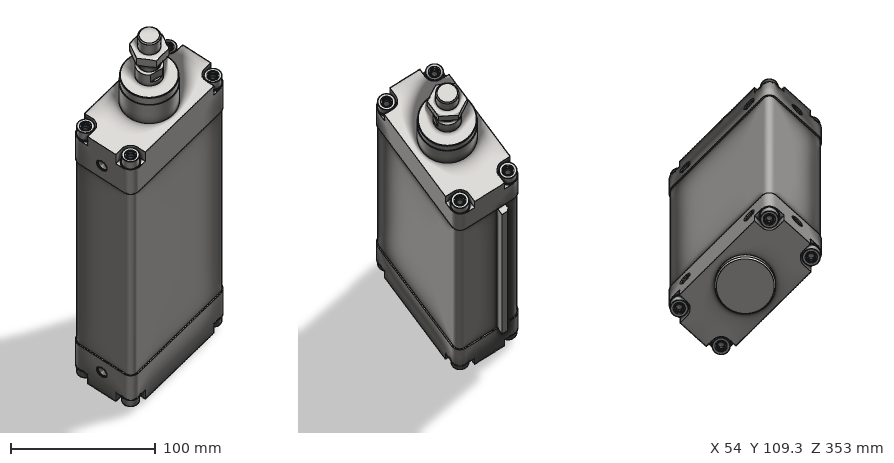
import cadquery as cq
import math


cap_width = 54.0
cap_depth = 104.0
cap_height = 36.5
cap_corner_radius = 7.0
body_height = 275.0
barrel_inset = 1.0
barrel_width = cap_width - 2 * barrel_inset
barrel_depth = cap_depth - 2 * barrel_inset
barrel_corner_radius = 5.5
barrel_height = body_height - 2 * cap_height
barrel_top = body_height - cap_height

rail_right = -6.7
rail_left = -13.3
rail_waist = -13.0
rail_crest = 57.3
rail_crest_bevel = 2.2
rail_waist_drop = 4.4

collar_diameter = 42.0
collar_height = 28.0
collar_tip_diameter = 41.0
collar_tip_height = 7.5
collar_tip_chamfer = 0.5
spigot_height = 6.0
spigot_end_diameter = 40.0
spigot_chamfer_height = 1.5

screw_x = cap_width / 2 - cap_corner_radius
screw_y = cap_depth / 2 - cap_corner_radius
pocket_diameter = 14.95
pocket_depth = 10.0
screw_head_diameter = 12.5
screw_head_height = 9.0
washer_diameter = 2 * cap_corner_radius
washer_height = 1.0
screw_head_rim = 0.25
socket_mouth_diameter = 8.38
socket_mouth_depth = 0.5
socket_throat_diameter = 6.6
socket_throat_depth = 2.0
socket_diameter = 4.92
socket_depth = 5.0

port_end_distance = 22.5
port_mouth_diameter = 9.46
port_mouth_depth = 1.0
port_diameter = 7.8
port_depth = 10.0
port_inner_diameter = 6.0
port_inner_depth = 20.0
mount_diameter = 8.38
mount_mouth_diameter = 10.0
mount_depth = 10.0
mount_pitch = 64.0
drill_point_angle = 118.0

rod_diameter = 20.0
rod_exposed = 12.0
thread_diameter = 16.0
thread_length = 32.0
thread_tip_diameter = 14.1
thread_tip_height = 0.95
thread_root_diameter = 14.38
thread_root_height = 1.0
flat_spacing = 17.0
flat_length = 7.8
flat_turn = 15.0
nut_across_flats = 24.0
nut_height = 8.0
hexagon_turn = 30.0
nut_tip_distance = 12.0
nut_face_diameter = 24.4
nut_chamfer_angle = 15.0

collar_top = body_height + collar_height
rod_bottom = barrel_top
rod_shoulder = collar_top + rod_exposed
rod_top = rod_shoulder + thread_length


def upright_block(width, depth, height, corner_radius, bottom):
    block = cq.Workplane("XY").workplane(offset=bottom).rect(width, depth).extrude(height)
    return block.edges("|Z").fillet(corner_radius)


def disc(diameter, height, bottom):
    return cq.Workplane("XY").workplane(offset=bottom).circle(diameter / 2).extrude(height)


def turned(outline):
    """A solid turned about Z from (radius, height) points that start and end on the axis."""
    return cq.Workplane("XZ").polyline(outline).close().revolve(360, (0, 0), (0, 1))


def drilled_hole(diameter, depth):
    """A cutter along +Z from the origin, ending in a drill point."""
    radius = diameter / 2
    point_length = radius / math.tan(math.radians(drill_point_angle / 2))
    return turned([(0, 0), (radius, 0), (radius, depth), (0, depth + point_length)])


def sensor_rail():
    root = barrel_depth / 2 - barrel_inset
    outline = [
        (rail_right, root),
        (rail_right, rail_crest),
        (rail_left + rail_crest_bevel, rail_crest),
        (rail_left, rail_crest - rail_crest_bevel),
        (rail_waist, rail_crest - rail_waist_drop),
        (rail_waist, root),
    ]
    return cq.Workplane("XY").workplane(offset=cap_height).polyline(outline).close().extrude(barrel_height)


def corner_pocket():
    """Pocket cutter for the (+X, +Y) corner, open downward at Z = 0 and open to both sides."""
    radius = pocket_diameter / 2
    reach = 2 * pocket_diameter
    cutter = cq.Workplane("XY").rect(reach, reach).extrude(pocket_depth)
    cutter = cutter.edges("|Z and <X and <Y").fillet(radius)
    return cutter.translate((screw_x - radius + reach / 2, screw_y - radius + reach / 2, 0))


def screw_head():
    """Screw head on its washer for the (+X, +Y) corner, with its socket facing down."""
    top = pocket_depth - screw_head_height
    head = disc(screw_head_diameter, screw_head_height, top)
    head = head.faces("<Z").edges().chamfer(screw_head_rim)
    head = head.union(disc(washer_diameter, washer_height, pocket_depth - washer_height))
    socket = drilled_hole(socket_diameter, socket_depth)
    socket = socket.union(disc(socket_throat_diameter, socket_throat_depth, 0))
    socket = socket.union(disc(socket_mouth_diameter, socket_mouth_depth, 0))
    return head.cut(socket.translate((0, 0, top))).translate((screw_x, screw_y, 0))


def both_ends(shape):
    """The shape at the lower cap and its mirror image at the upper cap."""
    upper = shape.mirror("XY", (0, 0, body_height / 2))
    return [shape, upper]


def four_corners(shape):
    """The shape near the (+X, +Y) corner and its mirror images at the other corners."""
    across = [shape, shape.mirror("YZ")]
    return across + [copy.mirror("XZ") for copy in across]


def air_port():
    port = disc(port_inner_diameter, port_inner_depth, 0)
    port = port.union(disc(port_diameter, port_depth, 0))
    port = port.union(disc(port_mouth_diameter, port_mouth_depth, 0))
    return port.rotate((0, 0, 0), (1, 0, 0), -90).translate((0, -cap_depth / 2, port_end_distance))


def mounting_hole(y):
    mouth_radius = mount_mouth_diameter / 2
    countersink = turned([(0, 0), (mouth_radius, 0), (0, mouth_radius)])
    hole = drilled_hole(mount_diameter, mount_depth).union(countersink)
    return hole.rotate((0, 0, 0), (0, 1, 0), 90).translate((-cap_width / 2, y, port_end_distance))


def spigot():
    end_radius = spigot_end_diameter / 2
    radius = collar_diameter / 2
    outline = [
        (0, 0),
        (radius, 0),
        (radius, spigot_chamfer_height - spigot_height),
        (end_radius, -spigot_height),
        (0, -spigot_height),
    ]
    return turned(outline)


def make_housing():
    barrel = upright_block(barrel_width, barrel_depth, barrel_height, barrel_corner_radius, cap_height)
    body = barrel.union(sensor_rail())
    for cap in both_ends(upright_block(cap_width, cap_depth, cap_height, cap_corner_radius, 0)):
        body = body.union(cap)

    for corner in four_corners(corner_pocket()):
        for pocket in both_ends(corner):
            body = body.cut(pocket)
    for corner in four_corners(screw_head()):
        for head in both_ends(corner):
            body = body.union(head)

    for y in (-mount_pitch / 2, mount_pitch / 2):
        for hole in both_ends(mounting_hole(y)):
            body = body.cut(hole)
    for port in both_ends(air_port()):
        body = body.cut(port)

    collar_base_height = collar_height - collar_tip_height
    body = body.union(disc(collar_diameter, collar_base_height, body_height))
    collar_tip = disc(collar_tip_diameter, collar_tip_height, body_height + collar_base_height)
    body = body.union(collar_tip.faces(">Z").edges().chamfer(collar_tip_chamfer))
    body = body.union(spigot())

    return body.cut(disc(rod_diameter, collar_top - rod_bottom, rod_bottom))


def rod_thread():
    radius = thread_diameter / 2
    outline = [
        (0, rod_shoulder),
        (thread_root_diameter / 2, rod_shoulder),
        (radius, rod_shoulder + thread_root_height),
        (radius, rod_top - thread_tip_height),
        (thread_tip_diameter / 2, rod_top),
        (0, rod_top),
    ]
    return turned(outline)


def make_piston_rod():
    shaft = disc(rod_diameter, rod_shoulder - rod_bottom, rod_bottom)
    flat_cutter = (
        cq.Workplane("XY")
        .workplane(offset=rod_shoulder - flat_length)
        .pushPoints([(-flat_spacing, 0), (flat_spacing, 0)])
        .rect(flat_spacing, rod_diameter)
        .extrude(flat_length)
        .rotate((0, 0, 0), (0, 0, 1), -flat_turn)
    )
    return shaft.cut(flat_cutter).union(rod_thread())


def make_lock_nut():
    across_corners = 2 * nut_across_flats / math.sqrt(3)
    bottom = rod_top - nut_tip_distance - nut_height
    hexagon = (
        cq.Workplane("XY")
        .workplane(offset=bottom)
        .transformed(rotate=(0, 0, hexagon_turn))
        .polygon(6, across_corners)
        .extrude(nut_height)
    )
    corner_radius = across_corners / 2
    face_radius = nut_face_diameter / 2
    corner_drop = (corner_radius - face_radius) * math.tan(math.radians(nut_chamfer_angle))
    top = bottom + nut_height
    envelope = turned(
        [
            (0, bottom),
            (face_radius, bottom),
            (corner_radius, bottom + corner_drop),
            (corner_radius, top - corner_drop),
            (face_radius, top),
            (0, top),
        ]
    )
    return hexagon.intersect(envelope).cut(disc(thread_diameter, nut_height, bottom))


housing = make_housing()
piston_rod = make_piston_rod()
lock_nut = make_lock_nut()

result = cq.Compound.makeCompound([housing.val(), piston_rod.val(), lock_nut.val()])